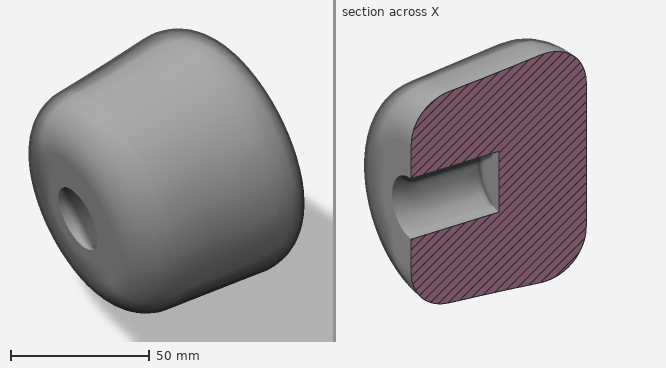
import cadquery as cq
import math

outer_diameter = 95.0
length = 75.0
edge_radius = 17.5
band_width = 1.6
taper_angle = math.radians(5.0)
bore_diameter = 25.1
bore_depth = 37.5

outer_radius = outer_diameter / 2
front_y = -length / 2
back_y = length / 2
back_round_y = back_y - edge_radius
taper_back_y = back_round_y - band_width
front_center_y = front_y + edge_radius
taper_front_y = front_center_y - edge_radius * math.sin(taper_angle)
taper_front_radius = outer_radius - (taper_back_y - taper_front_y) * math.tan(taper_angle)
front_face_radius = taper_front_radius - edge_radius * math.cos(taper_angle)
back_face_radius = outer_radius - edge_radius


def round_point(center_radius, center_y, angle):
    """Point on an end rounding, at an angle from the outward radial direction."""
    return (
        center_radius + edge_radius * math.cos(angle),
        center_y + edge_radius * math.sin(angle),
    )


def make_body():
    """Tapered roller body with a tangent rounding at each end."""
    front_mid_angle = -(math.pi / 2 + taper_angle) / 2
    front_mid = round_point(front_face_radius, front_center_y, front_mid_angle)
    back_mid = round_point(back_face_radius, back_round_y, math.pi / 4)
    profile = (
        cq.Workplane("XY")
        .moveTo(0, front_y)
        .lineTo(front_face_radius, front_y)
        .threePointArc(front_mid, (taper_front_radius, taper_front_y))
        .lineTo(outer_radius, taper_back_y)
        .lineTo(outer_radius, back_round_y)
        .threePointArc(back_mid, (back_face_radius, back_y))
        .lineTo(0, back_y)
        .close()
    )
    return profile.revolve(360, (0, 0, 0), (0, 1, 0))


def make_bore():
    """Blind bore entering from the front face."""
    front_plane = cq.Workplane("XZ", origin=(0, front_y, 0))
    return front_plane.circle(bore_diameter / 2).extrude(-bore_depth)


result = make_body().cut(make_bore())